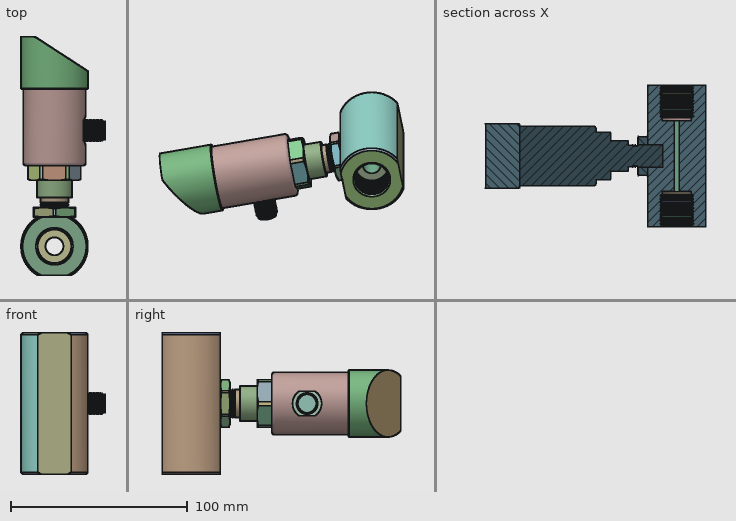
import cadquery as cq
import math


block_height = 80.0
block_radius = 38.0 / 2
block_flat_distance = 16.5
block_rim_radius = 18.0
block_rim_height = 1.2
through_radius = 5.0
port_minor_radius = 9.5
port_major_radius = 10.5
port_depth = 20.0
port_pitch = 1.8
stud_end_y = 8.1

nut_thickness = 5.5
nut_across_flats = 24.0
nut_corner_radius = 13.5
nut_face_radius = 11.5
nut_chamfer_height = 0.7
nut_top_y = block_flat_distance + nut_thickness

stud_radius = 8.0
stud_root_radius = 7.3
stud_thread_end_y = 24.8
stud_groove_count = 2
stub_radius = 10.0
stub_start_y = 27.4
stub_chamfer = 0.3
hex_start_y = 37.3
hex_across_flats = 27.0
hex_corner_radius = 15.0
hex_face_radius = 13.6
hex_chamfer_height = 0.7
housing_radius = 35.5 / 2
housing_start_y = 45.5
housing_edge_radius = 1.8

connector_y = 65.5
connector_seat_x = 16.3
connector_seat_radius = 8.2
connector_thread_radius = 12.0 / 2
connector_root_radius = 10.4 / 2
connector_thread_end_x = 27.5
connector_end_x = 28.6
connector_pitch = 1.0

cap_radius = 38.0 / 2
cap_start_y = 88.8
cap_top_y = 118.5
cap_rim_radius = 18.5
cap_knee_x = -11.1
cap_slant_angle = 33.0
cap_knee_fillet = 4.0


def turned(profile):
    """Solid of revolution about the Y axis from (radius, y) points."""
    return cq.Workplane("XY").polyline(profile).close().revolve(360, (0, 0, 0), (0, 1, 0))


def ring_grooves(start, pitch, count, open_radius, point_radius):
    """Ring-shaped V grooves about the Y axis, open at one radius and pointed at the other."""
    grooves = []
    for index in range(count):
        bottom = start + index * pitch
        groove = turned([
            (open_radius, bottom),
            (open_radius, bottom + pitch),
            (point_radius, bottom + pitch / 2),
        ])
        grooves.append(groove.val())
    return cq.Compound.makeCompound(grooves)


def hexagon(start_y, end_y, across_flats, turn):
    """Hexagonal prism along Y; a turn of 0 puts two corners on the X axis."""
    corner_diameter = across_flats / math.cos(math.pi / 6)
    return (
        cq.Workplane("XZ", origin=(0, start_y, 0))
        .polygon(6, corner_diameter)
        .extrude(start_y - end_y)
        .rotate((0, 0, 0), (0, 1, 0), turn)
    )


def make_block():
    half_height = block_height / 2
    port_chamfer = port_major_radius - port_minor_radius
    body = turned([
        (0, -half_height),
        (block_rim_radius, -half_height),
        (block_radius, -half_height + block_rim_height),
        (block_radius, half_height - block_rim_height),
        (block_rim_radius, half_height),
        (0, half_height),
    ]).rotate((0, 0, 0), (1, 0, 0), 90)
    body = body.intersect(cq.Workplane("XY").box(2 * block_radius, 2 * block_flat_distance, block_height))
    body = body.cut(cq.Workplane("XY").circle(through_radius).extrude(half_height, both=True))

    port = turned([
        (0, half_height - port_depth),
        (port_minor_radius, half_height - port_depth),
        (port_minor_radius, half_height - port_chamfer),
        (port_major_radius, half_height),
        (0, half_height),
    ])
    groove_count = int(port_depth / port_pitch) - 1
    groove_start = half_height - (groove_count + 0.5) * port_pitch
    grooves = ring_grooves(groove_start, port_pitch, groove_count, port_minor_radius, port_major_radius)
    for tilt in (90, -90):
        body = body.cut(port.rotate((0, 0, 0), (1, 0, 0), tilt))
        body = body.cut(grooves.rotate(cq.Vector(0, 0, 0), cq.Vector(1, 0, 0), tilt))

    stud_hole = turned([
        (0, stud_end_y),
        (stud_radius, stud_end_y),
        (stud_radius, block_flat_distance),
        (0, block_flat_distance),
    ])
    return body.cut(stud_hole)


def make_lock_nut():
    envelope = turned([
        (stud_radius, block_flat_distance),
        (nut_face_radius, block_flat_distance),
        (nut_corner_radius, block_flat_distance + nut_chamfer_height),
        (nut_corner_radius, nut_top_y - nut_chamfer_height),
        (nut_face_radius, nut_top_y),
        (stud_radius, nut_top_y),
    ])
    return envelope.intersect(hexagon(block_flat_distance, nut_top_y, nut_across_flats, 30))


def make_sensor():
    stem = turned([
        (0, stud_end_y),
        (stud_radius, stud_end_y),
        (stud_radius, stub_start_y),
        (stub_radius - stub_chamfer, stub_start_y),
        (stub_radius, stub_start_y + stub_chamfer),
        (stub_radius, hex_start_y),
        (0, hex_start_y),
    ])
    stud_pitch = (stud_thread_end_y - nut_top_y) / stud_groove_count
    stem = stem.cut(ring_grooves(nut_top_y, stud_pitch, stud_groove_count, stud_radius, stud_root_radius))

    hex_envelope = turned([
        (0, hex_start_y),
        (hex_face_radius, hex_start_y),
        (hex_corner_radius, hex_start_y + hex_chamfer_height),
        (hex_corner_radius, housing_start_y),
        (0, housing_start_y),
    ])
    hex_collar = hex_envelope.intersect(hexagon(hex_start_y, housing_start_y, hex_across_flats, 0))

    housing = (
        turned([
            (0, housing_start_y),
            (housing_radius, housing_start_y),
            (housing_radius, cap_start_y),
            (0, cap_start_y),
        ])
        .faces("<Y").edges().fillet(housing_edge_radius)
    )
    seat = (
        cq.Workplane("YZ", origin=(connector_seat_x, connector_y, 0))
        .circle(connector_seat_radius)
        .extrude(housing_radius)
    )
    return stem.union(hex_collar).union(housing.cut(seat)).union(make_connector())


def make_connector():
    """Threaded connector, turned about Y and laid along +X with its foot in the housing."""
    foot_x = connector_seat_x - connector_thread_radius
    thread_depth = connector_thread_radius - connector_root_radius
    connector = turned([
        (0, foot_x),
        (connector_root_radius, foot_x),
        (connector_root_radius, connector_seat_x),
        (connector_thread_radius, connector_seat_x),
        (connector_thread_radius, connector_thread_end_x - thread_depth),
        (connector_root_radius, connector_thread_end_x),
        (connector_root_radius, connector_end_x),
        (0, connector_end_x),
    ])
    thread_length = connector_thread_end_x - connector_seat_x
    groove_count = int(thread_length / connector_pitch)
    grooves = ring_grooves(
        connector_seat_x + connector_pitch / 2, connector_pitch, groove_count,
        connector_thread_radius, connector_root_radius,
    )
    return (
        connector.cut(grooves)
        .rotate((0, 0, 0), (0, 0, 1), -90)
        .translate((0, connector_y, 0))
    )


def make_cap():
    body = turned([
        (0, cap_start_y),
        (cap_rim_radius, cap_start_y),
        (cap_radius, cap_start_y + cap_radius - cap_rim_radius),
        (cap_radius, cap_top_y),
        (0, cap_top_y),
    ])
    slant_end_y = cap_top_y - (cap_radius - cap_knee_x) * math.tan(math.radians(cap_slant_angle))
    side_shape = (
        cq.Workplane("XY")
        .polyline([
            (-cap_radius, cap_start_y),
            (cap_radius, cap_start_y),
            (cap_radius, slant_end_y),
            (cap_knee_x, cap_top_y),
            (-cap_radius, cap_top_y),
        ])
        .close()
        .extrude(cap_radius, both=True)
        .edges(cq.selectors.NearestToPointSelector((cap_knee_x, cap_top_y, 0)))
        .fillet(cap_knee_fillet)
    )
    return body.intersect(side_shape)


block = make_block()
lock_nut = make_lock_nut()
sensor = make_sensor()
cap = make_cap()

result = cq.Compound.makeCompound([block.val(), lock_nut.val(), sensor.val(), cap.val()])